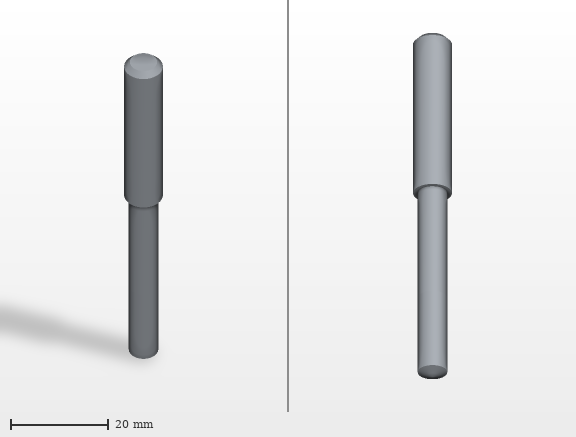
import cadquery as cq
import math

TOTAL_LENGTH = 79.0
SHANK_LENGTH = 36.0
CUTTER_LENGTH = 18.5

SHANK_DIAMETER = 8.0
CHAMFER_HEIGHT = 1.2
TOP_FACE_DIAMETER = 5.6

CUTTER_DIAMETER = 6.1
NECK_DIAMETER = CUTTER_DIAMETER
POINT_ANGLE = 140.0

shoulder_z = TOTAL_LENGTH - SHANK_LENGTH
point_height = CUTTER_DIAMETER / 2 / math.tan(math.radians(POINT_ANGLE / 2))


def revolve_profile(points):
    """Revolve a closed (radius, height) profile about the Z axis."""
    return cq.Workplane("XZ").polyline(points).close().revolve(360, (0, 0), (0, 1))


def make_shank():
    """Shank with a chamfered top and a plain neck below its shoulder."""
    return revolve_profile([
        (0, CUTTER_LENGTH),
        (NECK_DIAMETER / 2, CUTTER_LENGTH),
        (NECK_DIAMETER / 2, shoulder_z),
        (SHANK_DIAMETER / 2, shoulder_z),
        (SHANK_DIAMETER / 2, TOTAL_LENGTH - CHAMFER_HEIGHT),
        (TOP_FACE_DIAMETER / 2, TOTAL_LENGTH),
        (0, TOTAL_LENGTH),
    ])


def make_cutter():
    """Cylindrical cutting end with a conical point, butted against the neck."""
    return revolve_profile([
        (0, 0),
        (CUTTER_DIAMETER / 2, point_height),
        (CUTTER_DIAMETER / 2, CUTTER_LENGTH),
        (0, CUTTER_LENGTH),
    ])


shank = make_shank()
cutter = make_cutter()

result = cq.Compound.makeCompound([shank.val(), cutter.val()])